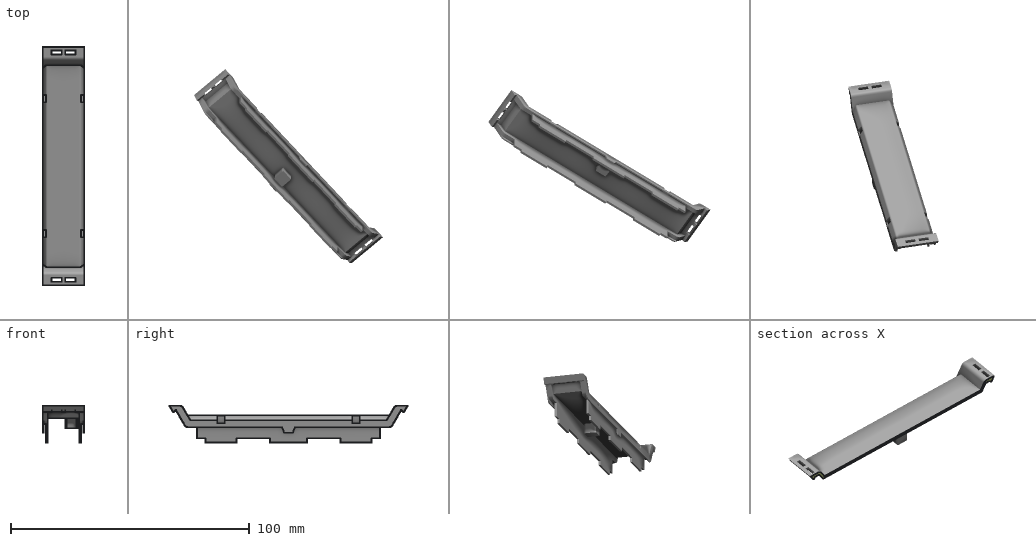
import cadquery as cq
import math

length = 100.0
width = 17.5
height = 15.5
half_length = length / 2
half_width = width / 2

deck_top = 11.5
deck_bottom = 10.2
bevel_foot = 9.4
beam_bottom = 7.8
skirt_bottom = 6.4

slope = math.radians(60)
lip_width = 5.3
lip_drop = 2.5
hook_tip_inset = 1.8
hook_tip_drop = 2.8
hook_valley_inset = 2.7
hook_valley_drop = 1.8
bend_radius = 1.8
beam_bend_radius = 2.4

channel_half_width = 6.5
skirt_thickness = 0.5
bevel_width = 1.6
bevel_radius = 0.9

slot_length = 4.2
slot_width = 1.5
slot_gap = 1.5
slot_end_inset = 1.6

notch_center = 28.3
notch_length = 3.0
notch_bottom = 8.2
notch_inner = 7.4

tab_bottom = 4.2
tab_root_length = 5.3
tab_tip_length = 3.7

rail_length = 76.8
rail_thickness = 0.9
rail_bottom = 1.8
end_foot_length = 13.0
middle_foot_length = 15.6
end_foot_center = 28.3

block_left = 0.8
block_size = 5.1
block_bottom = 6.0
block_chamfer_width = 0.6
block_chamfer_depth = 0.2


def box(x_range, y_range, z_range):
    """Box spanning the given (low, high) ranges."""
    size = [high - low for low, high in (x_range, y_range, z_range)]
    corner = (x_range[0], y_range[0], z_range[0])
    return cq.Workplane("XY").box(*size, centered=False).translate(corner)


def centered(middle, size):
    """(low, high) range of the given size about a middle."""
    return (middle - size / 2, middle + size / 2)


def both_sides(shape):
    """The shape together with its mirror image across X = 0."""
    return shape.union(shape.mirror("YZ"))


def tray(bottom, top_floor, x_half, foot_radius):
    """Bent tray of the given half width: floor, sloped end walls and hooked lips."""
    run = 1 / math.tan(slope)
    top_bend = half_length - lip_width
    floor_bend = top_bend - (height - top_floor) * run
    valley = (half_length - hook_valley_inset, height - hook_valley_drop)
    foot_bend = valley[0] - (valley[1] - bottom) * run
    right_side = [
        (foot_bend, bottom),
        valley,
        (half_length - hook_tip_inset, height - hook_tip_drop),
        (half_length - lip_drop * run, height - lip_drop),
        (half_length, height),
        (top_bend, height),
        (floor_bend, top_floor),
    ]
    left_side = [(-y, z) for y, z in reversed(right_side)]
    solid = cq.Workplane("YZ").polyline(right_side + left_side).close().extrude(x_half, both=True)
    for y in (-1, 1):
        for y_bend, z_bend, radius in ((top_bend, height, bend_radius), (foot_bend, bottom, foot_radius)):
            bend = (0, y * y_bend, z_bend)
            solid = solid.edges(cq.NearestToPointSelector(bend)).fillet(radius)
    return solid


def deck():
    """Flat-topped panel filling the tray, with beveled and rounded long edges."""
    section = [
        (-half_width, bevel_foot),
        (-half_width + bevel_width, deck_top),
        (half_width - bevel_width, deck_top),
        (half_width, bevel_foot),
    ]
    reach = half_length - lip_width - (height - deck_top) / math.tan(slope)
    panel = cq.Workplane("XZ").polyline(section).close().extrude(reach, both=True)
    return panel.faces(">Z").edges("|Y").fillet(bevel_radius)


def channel():
    """Space under the deck and end walls, leaving both the same thickness."""
    run = 1 / math.tan(slope)
    ceiling = height - hook_valley_drop
    wall_across = (deck_top - deck_bottom) / math.sin(slope)
    top_y = half_length - lip_width - (height - ceiling) * run + wall_across
    deck_y = top_y - (ceiling - deck_bottom) * run
    valley_y = half_length - hook_valley_inset
    foot_y = valley_y - ceiling * run
    right_side = [(foot_y, 0), (valley_y, ceiling), (top_y, ceiling), (deck_y, deck_bottom)]
    left_side = [(-y, z) for y, z in reversed(right_side)]
    outline = cq.Workplane("YZ").polyline(right_side + left_side).close()
    return outline.extrude(channel_half_width, both=True)


def body():
    """Skirted tray with two beams, an open channel between them and the deck on top."""
    beam_half_width = half_width - skirt_thickness
    skirts = tray(skirt_bottom, bevel_foot, half_width, bend_radius).cut(
        box((-beam_half_width, beam_half_width), (-length, length), (0, height))
    )
    solid = tray(beam_bottom, bevel_foot, beam_half_width, beam_bend_radius).union(skirts).union(deck())
    return solid.cut(channel())


def lip_slots():
    """Pairs of slots through both lips."""
    slots = cq.Workplane("XY")
    y_middle = half_length - slot_end_inset - slot_width / 2
    for y in (-y_middle, y_middle):
        slot = box((slot_gap / 2, slot_gap / 2 + slot_length), centered(y, slot_width), (deck_top, height))
        slots = slots.union(both_sides(slot))
    return slots


def side_notches():
    """Notches in the long edges, open downward inside the skirts."""
    notches = cq.Workplane("XY")
    for y in (-notch_center, notch_center):
        y_range = centered(y, notch_length)
        window = box((notch_inner, half_width), y_range, (notch_bottom, deck_top))
        well = box((notch_inner, half_width - skirt_thickness), y_range, (skirt_bottom, deck_top))
        notches = notches.union(both_sides(window.union(well)))
    return notches


def skirt_tabs():
    """Tapered tab hanging from the middle of each skirt."""
    outline = [
        (-tab_root_length / 2, skirt_bottom),
        (-tab_tip_length / 2, tab_bottom),
        (tab_tip_length / 2, tab_bottom),
        (tab_root_length / 2, skirt_bottom),
    ]
    tab = cq.Workplane("YZ").polyline(outline).close().extrude(skirt_thickness)
    return both_sides(tab.translate((half_width - skirt_thickness, 0, 0)))


def rails():
    """Rails under the beams, each with three feet."""
    x_range = (channel_half_width, channel_half_width + rail_thickness)
    rail = box(x_range, centered(0, rail_length), (rail_bottom, deck_bottom))
    feet = (
        (-end_foot_center, end_foot_length),
        (0, middle_foot_length),
        (end_foot_center, end_foot_length),
    )
    for y, foot_length in feet:
        rail = rail.union(box(x_range, centered(y, foot_length), (0, rail_bottom)))
    return both_sides(rail)


def block():
    """Square block with chamfered corners under the deck."""
    post = box(
        (block_left, block_left + block_size), centered(0, block_size), (block_bottom, deck_bottom)
    )
    return post.faces("<Y or >Y").edges("|Z").chamfer(block_chamfer_depth, block_chamfer_width)


result = body()
result = result.cut(lip_slots()).cut(side_notches())
result = result.union(skirt_tabs()).union(rails()).union(block())